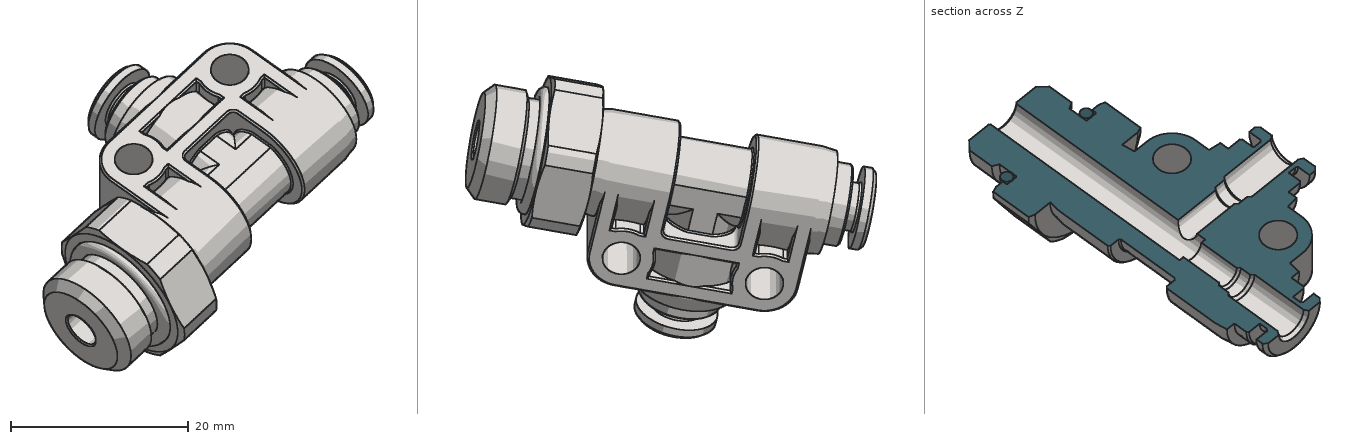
import cadquery as cq
import math

OVERALL_LENGTH = 45.4
BODY_RADIUS = 6.17
SLEEVE_END = 12.1
EDGE_CHAMFER = 0.23

CONE_END = 13.75
CONE_END_RADIUS = 5.95
COLLAR_END = 15.85
COLLAR_RADIUS = 4.7
COLLAR_CHAMFER = 0.23
NECK_RADIUS = 2.75
NECK_FLARE_RADIUS = 2.9
NECK_FLARE_START = 16.9
BUTTON_START = 17.15
BUTTON_END = 18.55
BUTTON_CHAMFER = 0.45

SOCKET_MOUTH_RADIUS = 2.45
SOCKET_MOUTH_DEPTH = 0.55
SOCKET_RADIUS = 2.15
SOCKET_DEPTH = 8.15
SEAT_RADIUS = 1.75
SEAT_DEPTH = 10.0
PASSAGE_RADIUS = 1.45

HOLE_OFFSET = 8.25
HOLE_RADIUS = 2.15
BOSS_RADIUS = SLEEVE_END - HOLE_OFFSET
WINDOW_HALF_WIDTH = 1.85
WINDOW_REACH = 4.68

WAIST_HALF_LENGTH = 4.35
WAIST_BACK = 4.45
WAIST_CORNER_RADIUS = 0.75
WAIST_RADIUS = 4.45
WAIST_FLAT_HEIGHT = 4.2
WAIST_FLARE = 0.2

HEX_TOP = -CONE_END
HEX_BOTTOM = -19.85
HEX_ACROSS_FLATS = 17.0
HEX_CORNER_RADIUS = 9.2
HEX_FACE_RADIUS = 8.45
HEX_CHAMFER_LENGTH = 0.25

STEM_END = BUTTON_END - OVERALL_LENGTH
GROOVE_RADIUS = 5.75
GROOVE_END = -21.85
THREAD_RADIUS = 6.6
THREAD_START = -22.25
THREAD_CHAMFER = 1.1
STEM_BORE_RADIUS = 2.1
STEM_BORE_CHAMFER = 0.2
STEM_BORE_TOP = 2.72

RING_SECTION_RADIUS = 0.75
RING_PROTRUSION = 0.9
RING_CENTRE_RADIUS = GROOVE_RADIUS + RING_SECTION_RADIUS
RING_CENTRE_Y = HEX_BOTTOM - RING_PROTRUSION + RING_SECTION_RADIUS
RECESS_RADIUS = RING_CENTRE_RADIUS + RING_SECTION_RADIUS
RECESS_TOP = RING_CENTRE_Y + RING_SECTION_RADIUS

HOLE_CENTRES = [(-HOLE_OFFSET, -HOLE_OFFSET), (-HOLE_OFFSET, HOLE_OFFSET)]


def revolve_about_y(points):
    """Solid of revolution about Y from (radius, y) points."""
    return cq.Workplane("XY").polyline(points).close().revolve(360, (0, 0, 0), (0, 1, 0))


def turn_to_branch(shape):
    """Turn a shape lying along +Y so that it lies along -X."""
    return shape.rotate((0, 0, 0), (0, 0, 1), 90)



def frame_block(x_min, x_max, half_length):
    """Block as thick as the frame, centred on y = 0."""
    block = cq.Workplane("XY").box(
        x_max - x_min, 2 * half_length, 2 * BODY_RADIUS, centered=(False, True, True)
    )
    return block.translate((x_min, 0, 0))


def frame_cylinders(radius):
    """Cylinders through the frame thickness at the screw holes."""
    return (
        cq.Workplane("XY", origin=(0, 0, -BODY_RADIUS))
        .pushPoints(HOLE_CENTRES)
        .circle(radius)
        .extrude(2 * BODY_RADIUS)
    )


def make_frame():
    frame = frame_block(-SLEEVE_END, 0, SLEEVE_END).edges("|Z and <X").fillet(BOSS_RADIUS)

    branch_window = frame_block(
        -HOLE_OFFSET - WINDOW_HALF_WIDTH, -HOLE_OFFSET + WINDOW_HALF_WIDTH, WINDOW_REACH
    )
    waist_opening = frame_block(-WAIST_BACK, 0, WAIST_HALF_LENGTH)
    waist_opening = waist_opening.edges("|Z and <X").fillet(WAIST_CORNER_RADIUS)
    frame = frame.cut(branch_window).cut(waist_opening)

    sleeve_window = frame_block(-WINDOW_REACH, 0, WINDOW_HALF_WIDTH)
    for _, hole_y in HOLE_CENTRES:
        frame = frame.cut(sleeve_window.translate((0, hole_y, 0)))

    frame = frame.union(frame_cylinders(BOSS_RADIUS))

    left_of_axis = cq.selectors.BoxSelector(
        (-2 * SLEEVE_END, -2 * SLEEVE_END, -2 * BODY_RADIUS),
        (-EDGE_CHAMFER, 2 * SLEEVE_END, 2 * BODY_RADIUS),
    )
    return frame.faces("|Z").edges(left_of_axis).chamfer(EDGE_CHAMFER)



def sleeve_profile(start):
    """Points of a sleeve from its chamfered inner face to the end of its cone."""
    return [
        (0, start),
        (BODY_RADIUS - EDGE_CHAMFER, start),
        (BODY_RADIUS, start + EDGE_CHAMFER),
        (BODY_RADIUS, SLEEVE_END),
        (CONE_END_RADIUS, CONE_END),
    ]


def make_push_in_end(start):
    """Sleeve, collar, neck and release button along +Y."""
    return revolve_about_y(sleeve_profile(start) + [
        (COLLAR_RADIUS, CONE_END),
        (COLLAR_RADIUS, COLLAR_END - COLLAR_CHAMFER),
        (COLLAR_RADIUS - COLLAR_CHAMFER, COLLAR_END),
        (NECK_RADIUS, COLLAR_END),
        (NECK_RADIUS, NECK_FLARE_START),
        (NECK_FLARE_RADIUS, BUTTON_START),
        (COLLAR_RADIUS, BUTTON_START),
        (COLLAR_RADIUS, BUTTON_END - BUTTON_CHAMFER),
        (COLLAR_RADIUS - BUTTON_CHAMFER, BUTTON_END),
        (0, BUTTON_END),
    ])


def make_stem():
    """Lower sleeve, O-ring groove and thread along -Y."""
    sleeve = [(radius, -y) for radius, y in sleeve_profile(WAIST_HALF_LENGTH)]
    return revolve_about_y(sleeve + [
        (GROOVE_RADIUS, HEX_TOP),
        (GROOVE_RADIUS, GROOVE_END),
        (THREAD_RADIUS, THREAD_START),
        (THREAD_RADIUS, STEM_END + THREAD_CHAMFER),
        (THREAD_RADIUS - THREAD_CHAMFER, STEM_END),
        (0, STEM_END),
    ])


def make_hexagon():
    prism = (
        cq.Workplane("XZ", origin=(0, HEX_TOP, 0))
        .polygon(6, HEX_ACROSS_FLATS / math.cos(math.pi / 6))
        .extrude(HEX_TOP - HEX_BOTTOM)
    )
    turned_blank = revolve_about_y([
        (0, HEX_TOP),
        (HEX_FACE_RADIUS, HEX_TOP),
        (HEX_CORNER_RADIUS, HEX_TOP - HEX_CHAMFER_LENGTH),
        (HEX_CORNER_RADIUS, HEX_BOTTOM + HEX_CHAMFER_LENGTH),
        (HEX_FACE_RADIUS, HEX_BOTTOM),
        (0, HEX_BOTTOM),
    ])
    ring_recess = revolve_about_y([
        (GROOVE_RADIUS, HEX_BOTTOM),
        (RECESS_RADIUS, HEX_BOTTOM),
        (RECESS_RADIUS, RECESS_TOP),
        (GROOVE_RADIUS, RECESS_TOP),
    ])
    return prism.intersect(turned_blank).cut(ring_recess)



def waist_section(y, growth=0.0):
    """Round section with flats above and below, in the plane at the given y, facing -Y."""
    radius = WAIST_RADIUS + growth
    flat_z = WAIST_FLAT_HEIGHT + growth
    flat_x = math.sqrt(radius**2 - flat_z**2)
    return (
        cq.Workplane("XZ", origin=(0, y, 0))
        .moveTo(flat_x, flat_z)
        .lineTo(-flat_x, flat_z)
        .threePointArc((-radius, 0), (-flat_x, -flat_z))
        .lineTo(flat_x, -flat_z)
        .threePointArc((radius, 0), (flat_x, flat_z))
        .close()
    )


def make_waist_tube(wall):
    """Thinner tube from y = 0 to a wall, flared at the wall."""
    tube = waist_section(wall).extrude(wall)
    flare = waist_section(wall, WAIST_FLARE).extrude(WAIST_FLARE, taper=45)
    return tube.union(flare)


def make_waist():
    upper = make_waist_tube(WAIST_HALF_LENGTH)
    branch = turn_to_branch(make_waist_tube(WAIST_BACK))
    return upper.union(upper.mirror("XZ")).union(branch)



def make_push_in_bore():
    """Tube socket along +Y that steps down to a narrow passage through two 45 degree cones."""
    socket_floor = BUTTON_END - SOCKET_DEPTH
    seat_floor = BUTTON_END - SEAT_DEPTH
    return revolve_about_y([
        (0, 0),
        (PASSAGE_RADIUS, 0),
        (PASSAGE_RADIUS, seat_floor - (SEAT_RADIUS - PASSAGE_RADIUS)),
        (SEAT_RADIUS, seat_floor),
        (SEAT_RADIUS, socket_floor - (SOCKET_RADIUS - SEAT_RADIUS)),
        (SOCKET_RADIUS, socket_floor),
        (SOCKET_RADIUS, BUTTON_END - SOCKET_MOUTH_DEPTH),
        (SOCKET_MOUTH_RADIUS, BUTTON_END),
        (0, BUTTON_END),
    ])


def make_stem_bore():
    return revolve_about_y([
        (0, STEM_BORE_TOP),
        (STEM_BORE_RADIUS, STEM_BORE_TOP),
        (STEM_BORE_RADIUS, STEM_END + STEM_BORE_CHAMFER),
        (STEM_BORE_RADIUS + STEM_BORE_CHAMFER, STEM_END),
        (0, STEM_END),
    ])



def make_body():
    body = (
        make_frame()
        .union(make_push_in_end(WAIST_HALF_LENGTH))
        .union(turn_to_branch(make_push_in_end(WAIST_BACK)))
        .union(make_stem())
        .union(make_hexagon())
        .union(make_waist())
    )
    return (
        body.cut(make_push_in_bore())
        .cut(turn_to_branch(make_push_in_bore()))
        .cut(make_stem_bore())
        .cut(frame_cylinders(HOLE_RADIUS))
    )


def make_o_ring():
    return cq.Workplane("XY").add(cq.Solid.makeTorus(
        RING_CENTRE_RADIUS, RING_SECTION_RADIUS, cq.Vector(0, RING_CENTRE_Y, 0), cq.Vector(0, 1, 0)
    ))


body = make_body()
o_ring = make_o_ring()
result = cq.Compound.makeCompound([body.val(), o_ring.val()])